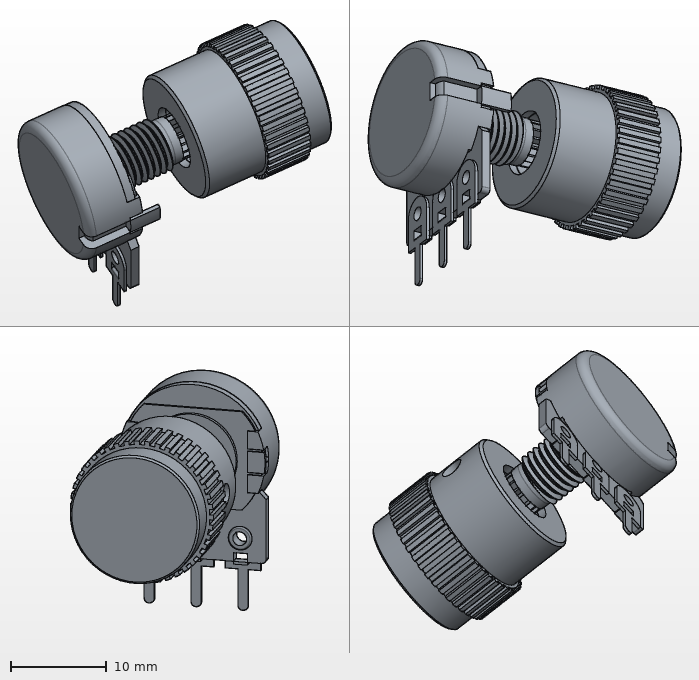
import cadquery as cq
import math


can_radius = 7.875
can_length = 5.08
can_edge_radius = 1.0
notch_half_width = 1.03
notch_inner_x = 5.83
notch_bend_end_x = 6.88
notch_bend_radius = 1.5
notch_wall = 0.65
relief_top_z = -5.5
relief_inner_radius = 6.38

plate_front = can_length
plate_thickness = 1.0
plate_back = plate_front + plate_thickness
plate_bottom_z = -11.14
plate_radius = can_radius - 0.03
plate_corner_radius = 0.5
shoulder_top = (7.15, -3.36)
shoulder_bottom_z = -4.12

sheet_thickness = 0.31
cover_back = plate_back + sheet_thickness
cover_radius = 7.57
cover_half_height = 5.38
boss_radius = 4.83
boss_back = 6.87
foot_top_z = -4.38
crimp_back = 6.58
crimp_inner_x = 5.97
crimp_low_z = 1.41
crimp_high_z = 3.37
centre_tab_half_width = 1.16
rib_radius = 0.3
locating_tab_thickness = 0.53
locating_tab_back = 8.64

thread_pitch = 0.75
thread_radius = 2.99
thread_crest_half_width = 0.05
thread_root_radius = 2.5
thread_sink = 0.05
thread_gap = 0.015
thread_end = 12.93
thread_phase = -8
tip_radius = 2.57
tip_taper_length = 0.5
bushing_end = 14.38

shaft_teeth = 16
shaft_crest_radius = 2.5
shaft_valley_radius = 1.5
shaft_crest_half_angle = math.radians(2.3)
shaft_slot_width = 1.1

terminal_pitch = 5.08
terminal_thickness = sheet_thickness
terminal_front = plate_front - terminal_thickness
terminal_half_width = 1.92
terminal_bottom_z = -12.25
rivet_z = -8.52
rivet_hole_radius = 0.74
rivet_head_radius = 1.27
rivet_edge_radius = 0.15
window_width = 1.5
window_top_z = -10.2
flap_bottom_z = -11.44
flap_bend_radius = 0.25
pin_width = 1.1
total_height = 24.62
pin_bottom_z = can_radius - total_height
pin_tip_radius = 0.54

knob_start = 14.73
knob_end = 29.78
knob_radius = 7.0
knob_front_chamfer = 0.3
knob_end_chamfer = 0.22
collar_start = 21.77
collar_length = 5.0
collar_radius = 7.75
collar_groove_depth = 0.4
collar_ridges = 42
bore_radius = 3.36
mouth_radius = 3.42
mouth_depth = 0.9
bore_depth = 10.0
screw_hole_radius = 1.25
screw_hole_y = 18.8

shaft_end = knob_start + bore_depth


def section_plane(y):
    """Sketch plane across the shaft axis, with local axes X and Z."""
    return cq.Workplane("XZ", origin=(0, y, 0))


def disc(radius, y_start, y_end, x=0, z=0):
    """Cylinder along Y."""
    return section_plane(y_start).center(x, z).circle(radius).extrude(y_start - y_end)


def block(x_range, y_range, z_range):
    """Box between the given limits on each axis."""
    size = [high - low for low, high in (x_range, y_range, z_range)]
    return cq.Workplane("XY").box(*size, centered=False).translate((x_range[0], y_range[0], z_range[0]))


def polar(radius, angle):
    return (radius * math.cos(angle), radius * math.sin(angle))


def make_rim_trim():
    """Ring of metal removed past the rim, which leaves only the four crimp tabs."""
    trim = disc(can_radius, can_length, crimp_back)
    for x_range in ((-can_radius, -crimp_inner_x), (crimp_inner_x, can_radius)):
        for z_range in ((-crimp_high_z, -crimp_low_z), (crimp_low_z, crimp_high_z)):
            trim = trim.cut(block(x_range, (can_length, crimp_back), z_range))
    return trim


def make_notch_bend():
    """Rounded wall that shows inside the rear notch."""
    z_range = (-notch_half_width, notch_half_width)
    x_range = (notch_inner_x, notch_bend_end_x)
    centre_y = notch_wall + notch_bend_radius
    return (
        cq.Workplane("XY", origin=(notch_inner_x, centre_y, -notch_half_width))
        .circle(notch_bend_radius)
        .extrude(2 * notch_half_width)
        .union(block(x_range, (centre_y, can_length), z_range))
        .intersect(block(x_range, (0, can_length), z_range))
    )


def make_terminal_relief():
    """Shallow cut in the lower rim that clears the terminals."""
    relief = disc(can_radius, terminal_front, can_length)
    relief = relief.cut(disc(relief_inner_radius, terminal_front, can_length))
    below = block((-can_radius, can_radius), (terminal_front, can_length), (-can_radius, relief_top_z))
    return relief.intersect(below)


def make_can():
    can = disc(can_radius, 0, crimp_back).faces("<Y").edges().fillet(can_edge_radius)
    can = can.cut(make_rim_trim())
    notch = block((notch_inner_x, can_radius), (0, can_length), (-notch_half_width, notch_half_width))
    can = can.cut(notch).union(make_notch_bend())
    return can.cut(make_terminal_relief())


def make_plate():
    shoulder_x, shoulder_z = shoulder_top
    skirt = (
        section_plane(plate_front)
        .polyline([
            (-shoulder_x, shoulder_z),
            (-can_radius, shoulder_bottom_z),
            (-can_radius, plate_bottom_z),
            (can_radius, plate_bottom_z),
            (can_radius, shoulder_bottom_z),
            (shoulder_x, shoulder_z),
        ])
        .close()
        .extrude(-plate_thickness)
        .edges("<Z and |Y")
        .fillet(plate_corner_radius)
    )
    plate = disc(plate_radius, plate_front, plate_back).union(skirt)

    recess = disc(can_radius, plate_front, plate_back).cut(disc(cover_radius, plate_front, plate_back))
    gap_z = (-crimp_low_z, crimp_low_z)
    recess = recess.intersect(block((-can_radius, can_radius), (plate_front, plate_back), gap_z))
    plate = plate.cut(recess)
    for side in (-1, 1):
        plate = plate.union(disc(rib_radius, plate_front, plate_back, x=side * cover_radius))
    return plate


def make_cover():
    cover = disc(cover_radius, plate_back, cover_back)
    band_z = (-cover_half_height, cover_half_height)
    cover = cover.intersect(block((-can_radius, can_radius), (plate_back, cover_back), band_z))
    cover = cover.union(disc(boss_radius, cover_back, boss_back))

    foot_half_width = math.sqrt(boss_radius**2 - foot_top_z**2)
    foot_x = (-foot_half_width, foot_half_width)
    return cover.union(block(foot_x, (cover_back, boss_back), (-boss_radius, foot_top_z)))


def make_locating_tabs():
    """Short tab on the -X side and a tall one on the +X side."""
    short_tab = block(
        (-can_radius, -crimp_inner_x),
        (plate_back, crimp_back),
        (-centre_tab_half_width, centre_tab_half_width),
    )
    tall_tab = block(
        (can_radius - locating_tab_thickness, can_radius),
        (plate_front, locating_tab_back),
        (-notch_half_width, notch_half_width),
    )
    return short_tab.add(tall_tab).combine().intersect(disc(can_radius, plate_front, locating_tab_back))


def make_thread():
    """Right-hand thread ridge along Y, sunk slightly into the core and cut flat at both ends."""
    length = thread_end - boss_back
    root = thread_root_radius - thread_sink
    half_base = (thread_pitch - thread_gap) / 2
    helix = cq.Wire.makeHelix(thread_pitch, length + 2 * thread_pitch, root)
    ridge = (
        cq.Workplane("XZ", origin=(root, 0, 0))
        .polyline([
            (0, -half_base),
            (thread_radius - root, -thread_crest_half_width),
            (thread_radius - root, thread_crest_half_width),
            (0, half_base),
        ])
        .close()
        .sweep(cq.Workplane(helix), isFrenet=True)
        .rotate((0, 0, 0), (0, 0, 1), thread_phase)
        .rotate((0, 0, 0), (1, 0, 0), -90)
        .translate((0, boss_back - thread_pitch, 0))
    )
    envelope = disc(2 * thread_radius, boss_back, thread_end)
    return ridge.intersect(envelope)


def make_bushing():
    core = disc(thread_root_radius, boss_back, bushing_end)
    tip = disc(tip_radius, thread_end, bushing_end)
    tip = tip.faces("<Y").edges().chamfer(tip_taper_length, tip_radius - thread_root_radius)
    return core.union(make_thread()).union(tip)


def make_shaft():
    points = []
    for i in range(shaft_teeth):
        valley_angle = 2 * math.pi * i / shaft_teeth
        points.append(polar(shaft_valley_radius, valley_angle))
        crest_angle = valley_angle + math.pi / shaft_teeth
        points.append(polar(shaft_crest_radius, crest_angle - shaft_crest_half_angle))
        points.append(polar(shaft_crest_radius, crest_angle + shaft_crest_half_angle))
    shaft = section_plane(bushing_end).polyline(points).close().extrude(bushing_end - shaft_end)
    half_slot = shaft_slot_width / 2
    reach = shaft_crest_radius
    return shaft.cut(block((-half_slot, half_slot), (bushing_end, shaft_end), (-reach, reach)))


def make_terminal(x):
    """Riveted lug with a solder pin, and a flap folded under the plate."""
    lug = disc(terminal_half_width, terminal_front, plate_front, x=x, z=rivet_z)
    lug = lug.union(block(
        (x - terminal_half_width, x + terminal_half_width),
        (terminal_front, plate_front),
        (terminal_bottom_z, rivet_z),
    ))
    pin = block(
        (x - pin_width / 2, x + pin_width / 2),
        (terminal_front, plate_front),
        (pin_bottom_z, terminal_bottom_z),
    )
    pin = pin.edges("|Y and <Z").fillet(pin_tip_radius)
    rivet = disc(rivet_head_radius, plate_back, cover_back, x=x, z=rivet_z)
    rivet = rivet.faces(">Y").edges().fillet(rivet_edge_radius)
    return lug.union(pin).union(rivet)


def make_terminal_flap(x):
    flap = block(
        (x - window_width / 2, x + window_width / 2),
        (terminal_front, plate_back),
        (flap_bottom_z, plate_bottom_z),
    )
    return flap.edges("|X and >Z and <Y").fillet(flap_bend_radius)


def make_terminal_openings(x):
    """Rivet hole and window, through both the lug and the plate."""
    hole = disc(rivet_hole_radius, terminal_front, cover_back, x=x, z=rivet_z)
    window = block(
        (x - window_width / 2, x + window_width / 2),
        (terminal_front, plate_back),
        (flap_bottom_z, window_top_z),
    )
    return hole.union(window)


def make_potentiometer():
    body = make_can().union(make_plate()).union(make_cover()).union(make_locating_tabs())
    body = body.union(make_shaft()).union(make_bushing())
    for position in (-1, 0, 1):
        x = position * terminal_pitch
        body = body.union(make_terminal(x))
        body = body.cut(make_terminal_openings(x))
        body = body.union(make_terminal_flap(x))
    return body


def make_collar():
    """Ring with straight ridges and grooves of equal width."""
    groove_radius = collar_radius - collar_groove_depth
    half_ridge = math.pi / collar_ridges / 2
    points = []
    for i in range(collar_ridges):
        angle = 2 * math.pi * i / collar_ridges
        points.append(polar(groove_radius, angle - half_ridge))
        points.append(polar(collar_radius, angle - half_ridge))
        points.append(polar(collar_radius, angle + half_ridge))
        points.append(polar(groove_radius, angle + half_ridge))
    return section_plane(collar_start).polyline(points).close().extrude(-collar_length)


def make_knob():
    knob = disc(knob_radius, knob_start, knob_end)
    knob = knob.faces("<Y").edges().chamfer(knob_front_chamfer)
    knob = knob.faces(">Y").edges().chamfer(knob_end_chamfer)
    knob = knob.union(make_collar())
    knob = knob.cut(disc(bore_radius, knob_start, shaft_end))
    knob = knob.cut(disc(mouth_radius, knob_start, knob_start + mouth_depth))
    screw_hole = (
        cq.Workplane("YZ", origin=(-knob_radius, screw_hole_y, 0))
        .circle(screw_hole_radius)
        .extrude(knob_radius)
    )
    return knob.cut(screw_hole)


potentiometer = make_potentiometer()
knob = make_knob()

result = cq.Compound.makeCompound([potentiometer.val(), knob.val()])